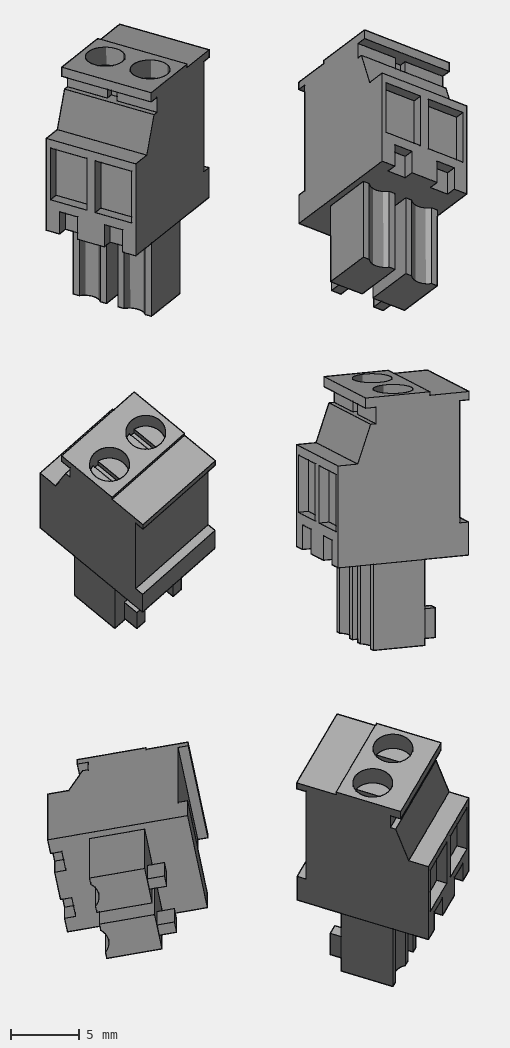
import cadquery as cq


width = 7.62
depth = 10.45
height = 19.1
pole_pitch = width / 2
pole_places = [-pole_pitch / 2, pole_pitch / 2]

slope_foot_y = 1.57
lip_front_y = 2.2
slope_top_y = 2.6
neck_front_y = 3.02
top_step_y = 7.32
back_face_y = 9.7
heel_back_y = 10.4

base_z = 6.57
heel_top_z = 9.05
shoulder_z = 14.21
neck_floor_z = 17.1
back_lip_z = 18.2
front_lip_z = 18.34
rear_top_z = 18.83

neck_recess_width = 0.84
neck_recess_depth = 0.57

pocket_width = 3.1
pocket_bottom_z = 9.2
pocket_top_z = 13.5
pocket_depth = 0.8

notch_width = 1.55
notch_top_z = 8.42
notch_depth = 0.84

post_width = 2.85
post_back_y = 7.12
groove_width = 1.8
groove_depth = 0.42
key_width = 0.85
key_back_y = 8.4
key_bottom_z = 0.27
key_top_z = 2.5

screw_radius = 1.45
screw_y = 5.21
screw_length = 1.53
screw_sink = 1.49
slot_width = 0.52
slot_depth = 0.5
screw_top_z = height - screw_sink
screw_bottom_z = screw_top_z - screw_length


def block(x, block_width, y_range, z_range):
    """A box centred on x that fills the given Y and Z ranges."""
    y_start, y_end = y_range
    z_start, z_end = z_range
    size = (block_width, y_end - y_start, z_end - z_start)
    box = cq.Workplane("XY").box(*size, centered=(True, False, False))
    return box.translate((x, y_start, z_start))


def make_shell():
    """The side outline, extruded over the full width."""
    outline = [
        (0, base_z),
        (0, shoulder_z),
        (slope_foot_y, shoulder_z),
        (slope_top_y, neck_floor_z),
        (neck_front_y, neck_floor_z),
        (neck_front_y, front_lip_z),
        (lip_front_y, front_lip_z),
        (lip_front_y, height),
        (top_step_y, height),
        (top_step_y, rear_top_z),
        (depth, rear_top_z),
        (depth, back_lip_z),
        (back_face_y, back_lip_z),
        (back_face_y, heel_top_z),
        (heel_back_y, heel_top_z),
        (heel_back_y, base_z),
    ]
    return cq.Workplane("YZ").polyline(outline).close().extrude(width / 2, both=True)


def make_post(x):
    """A plug post with its front groove and rear key."""
    half_post = post_width / 2
    half_groove = groove_width / 2
    post = (
        cq.Workplane("XY")
        .moveTo(-half_post, neck_front_y)
        .lineTo(-half_groove, neck_front_y)
        .threePointArc((0, neck_front_y + groove_depth), (half_groove, neck_front_y))
        .lineTo(half_post, neck_front_y)
        .lineTo(half_post, post_back_y)
        .lineTo(-half_post, post_back_y)
        .close()
        .extrude(base_z)
        .translate((x, 0, 0))
    )
    key = block(x, key_width, (post_back_y, key_back_y), (key_bottom_z, key_top_z))
    return post.union(key)


def cylinder_at_screw(x, z_start, z_end):
    """A cylinder on the screw axis of the pole at x."""
    disc = cq.Workplane("XY").center(x, screw_y).circle(screw_radius)
    return disc.extrude(z_end - z_start).translate((0, 0, z_start))


def make_housing():
    recess_y_range = (neck_front_y, neck_front_y + neck_recess_depth)
    recess = block(0, neck_recess_width, recess_y_range, (neck_floor_z, front_lip_z))
    housing = make_shell().cut(recess)
    for x in pole_places:
        pocket = block(x, pocket_width, (0, pocket_depth), (pocket_bottom_z, pocket_top_z))
        notch = block(x, notch_width, (0, notch_depth), (base_z, notch_top_z))
        screw_hole = cylinder_at_screw(x, screw_bottom_z, height)
        housing = housing.cut(pocket).cut(notch).cut(screw_hole).union(make_post(x))
    return housing


def make_screw(x):
    """A plain screw with a slot across its top."""
    slot_y_range = (screw_y - screw_radius, screw_y + screw_radius)
    slot = block(x, slot_width, slot_y_range, (screw_top_z - slot_depth, screw_top_z))
    return cylinder_at_screw(x, screw_bottom_z, screw_top_z).cut(slot)


housing = make_housing()
screws = [make_screw(x) for x in pole_places]

result = cq.Compound.makeCompound([housing.val(), *[screw.val() for screw in screws]])